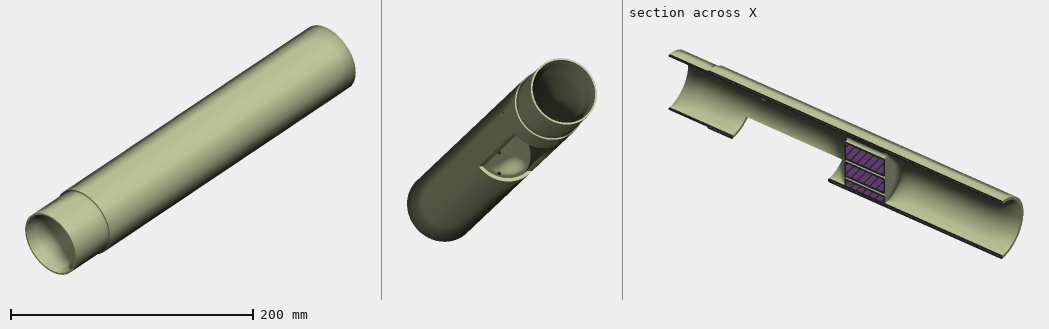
import cadquery as cq

TOTAL_LENGTH = 340.0
SPIGOT_LENGTH = 40.0
JOINT_Y = 200.0
PLUG_LENGTH = SPIGOT_LENGTH

OUTER_DIAMETER = 60.0
SPIGOT_DIAMETER = 57.0
BORE_DIAMETER = 54.0

WINDOW_START_Y = 65.0
WINDOW_LENGTH = 98.0
WINDOW_TOP_Z = -19.0

SIDE_HOLE_DIAMETER = 3.5
SIDE_HOLE_Y = 74.5
SIDE_HOLE_ANGLE = 45.0
SIDE_HOLE_REACH = 6.8

CABLE_HOLE_DIAMETER = 6.8
CABLE_HOLE_Z = 22.5
SCREW_HOLE_DIAMETER = 3.0
SCREW_HOLE_HEIGHTS = (0.0, -18.0)


def cylinder(diameter, start_y, end_y, z=0.0):
    """Solid cylinder parallel to Y from start_y to end_y, centred at height z."""
    base = cq.Workplane("XZ", origin=(0, start_y, z))
    return base.circle(diameter / 2).extrude(start_y - end_y)


def make_window():
    """Block that removes the underside of the front tube below WINDOW_TOP_Z."""
    depth = OUTER_DIAMETER / 2 + WINDOW_TOP_Z
    base = cq.Workplane("XY", origin=(0, WINDOW_START_Y + WINDOW_LENGTH / 2, WINDOW_TOP_Z))
    return base.rect(OUTER_DIAMETER, WINDOW_LENGTH).extrude(-depth)


def make_side_hole():
    """Oblique drill that pierces the -X wall only."""
    entry = cq.Workplane("YZ", origin=(-OUTER_DIAMETER / 2, SIDE_HOLE_Y, 0))
    drill = entry.circle(SIDE_HOLE_DIAMETER / 2).extrude(SIDE_HOLE_REACH, both=True)
    pivot = entry.plane.origin
    return drill.rotate(pivot, pivot + cq.Vector(0, 0, 3.5), SIDE_HOLE_ANGLE)


def make_front_tube():
    spigot = cylinder(SPIGOT_DIAMETER, 0, SPIGOT_LENGTH)
    barrel = cylinder(OUTER_DIAMETER, SPIGOT_LENGTH, JOINT_Y)
    bore = cylinder(BORE_DIAMETER, 0, JOINT_Y)
    return spigot.union(barrel).cut(bore).cut(make_window()).cut(make_side_hole())


def make_rear_tube():
    barrel = cylinder(OUTER_DIAMETER, JOINT_Y, TOTAL_LENGTH)
    bore = cylinder(BORE_DIAMETER, JOINT_Y, TOTAL_LENGTH)
    return barrel.cut(bore)


def make_plug():
    """Plug that bridges the joint inside both tubes."""
    start_y = JOINT_Y - PLUG_LENGTH / 2
    end_y = JOINT_Y + PLUG_LENGTH / 2
    plug = cylinder(BORE_DIAMETER, start_y, end_y)
    plug = plug.cut(cylinder(CABLE_HOLE_DIAMETER, start_y, end_y, CABLE_HOLE_Z))
    for height in SCREW_HOLE_HEIGHTS:
        plug = plug.cut(cylinder(SCREW_HOLE_DIAMETER, start_y, end_y, height))
    return plug


front_tube = make_front_tube()
rear_tube = make_rear_tube()
plug = make_plug()

result = cq.Compound.makeCompound([front_tube.val(), rear_tube.val(), plug.val()])